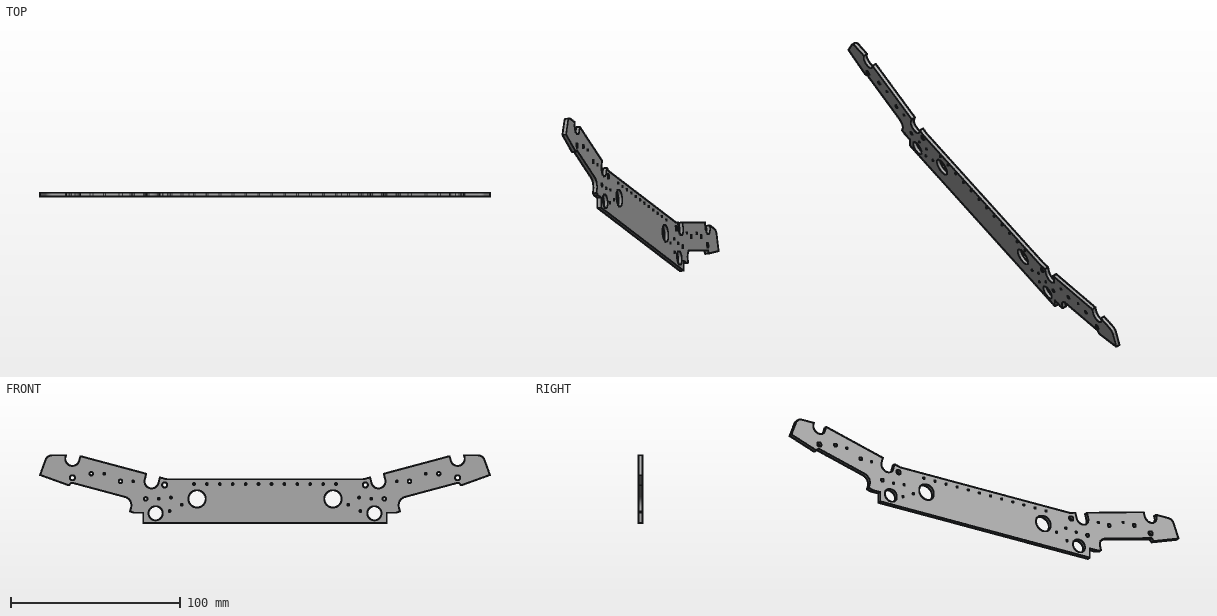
import cadquery as cq
import math

length = 266.2
thickness = 2.5
height = 40.2
half_length = length / 2

web_top = 26.0
web_foot_half_width = 72.0
step_height = 6.0
shelf_end_x = -77.5

arm_angle = 15
arm_slope = math.tan(math.radians(arm_angle))
arm_top_joint_x = -58.3
arm_under_start = (-114.5, 24.0)
arm_root = (-78.0, arm_under_start[1] - arm_slope * (-78.0 - arm_under_start[0]))
arm_root_radius = 5.0
heel = (-79.8, 7.0)

tip_z = 28.5
tip_shoulder_x = -128.8
tip_radius = 4.0
tip_barb = (-116.0, 22.4)
arm_top_end_x = arm_top_joint_x - (height - web_top) / arm_slope

notch_diameter = 8.3
notch_depth = 10.6
notch_centers = [(-114.0, 38.0), (-67.0, 24.8)]

large_hole_diameter = 10.0
large_holes = [(-40.2, 14.5)]
corner_hole_diameter = 8.3
corner_holes = [(-64.7, 5.9)]
mount_hole_diameter = 3.0
mount_holes = [(-114.0, 27.0), (-59.4, 22.5)]
medium_hole_diameter = 2.0
medium_holes = [(-102.7, 29.3), (-85.5, 24.8), (-70.5, 14.5)]
pin_hole_diameter = 1.0
pin_holes = [
    (-95.0, 29.3),
    (-78.0, 24.8),
    (-62.8, 14.5),
    (-55.5, 15.2),
    (-49.2, 11.0),
    (-56.5, 7.2),
]

row_count = 12
row_pitch = 7.65
row_z = 23.2


def extrude_centered(sketch):
    return sketch.extrude(thickness / 2, both=True)


def edge_at(body, x, z):
    """Select the through-thickness edge nearest to a profile corner."""
    return body.edges("|Y").edges(cq.selectors.NearestToPointSelector((x, 0, z)))


def half_plate():
    """Left half of the plate with its rounded corners."""
    outline = [
        (0, 0),
        (-web_foot_half_width, 0),
        (-web_foot_half_width, step_height),
        (shelf_end_x, step_height),
        heel,
        arm_root,
        arm_under_start,
        tip_barb,
        (-half_length, tip_z),
        (tip_shoulder_x, height),
        (arm_top_end_x, height),
        (arm_top_joint_x, web_top),
        (0, web_top),
    ]
    body = extrude_centered(cq.Workplane("XZ").polyline(outline).close())
    body = edge_at(body, *arm_root).fillet(arm_root_radius)
    return edge_at(body, tip_shoulder_x, height).fillet(tip_radius)


def notch(center):
    """Round-bottomed notch, open upward and square to the arm."""
    x, z = center
    radius = notch_diameter / 2
    profile = (
        cq.Workplane("XZ")
        .moveTo(-radius, notch_depth)
        .lineTo(-radius, 0)
        .threePointArc((0, -radius), (radius, 0))
        .lineTo(radius, notch_depth)
        .close()
    )
    tool = extrude_centered(profile)
    return tool.rotate((0, 0, 0), (0, 1, 0), arm_angle).translate((x, 0, z))


def hole_tools(centers, diameter):
    return extrude_centered(cq.Workplane("XZ").pushPoints(centers).circle(diameter / 2))


half = half_plate()
for notch_center in notch_centers:
    half = half.cut(notch(notch_center))

hole_groups = [
    (large_holes, large_hole_diameter),
    (corner_holes, corner_hole_diameter),
    (mount_holes, mount_hole_diameter),
    (medium_holes, medium_hole_diameter),
    (pin_holes, pin_hole_diameter),
]
for hole_centers, hole_diameter in hole_groups:
    half = half.cut(hole_tools(hole_centers, hole_diameter))

plate = half.union(half.mirror("YZ")).clean()
row_start = -row_pitch * (row_count - 1) / 2
row_centers = [(row_start + i * row_pitch, row_z) for i in range(row_count)]
result = plate.cut(hole_tools(row_centers, pin_hole_diameter))